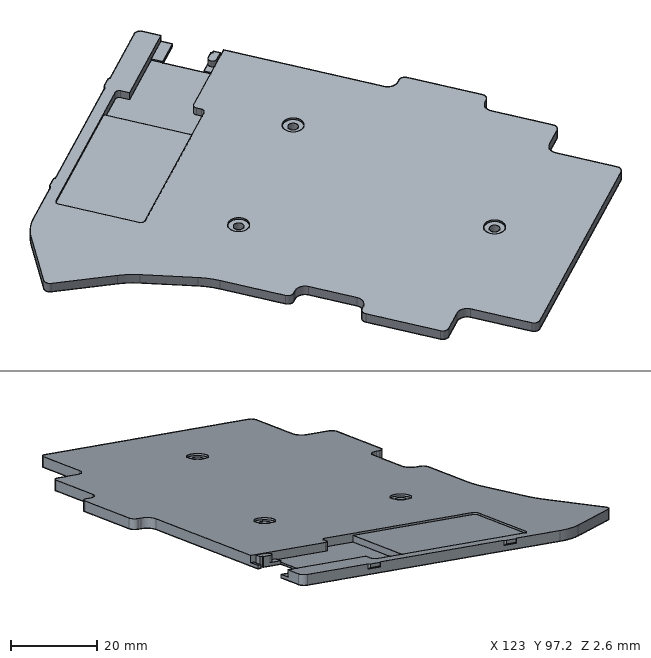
import cadquery as cq
import math

thickness = 2.6
left_x = 0.4
right_x = 123.0
top_y = 92.4
bottom_y = 14.2

wing_x = 104.1
wing_bottom_y = 23.9
wing_top_y = 83.2

bump_left_x = 63.6
bump_right_x = 85.0
bump_top_y = 97.2
notch_left_x = 66.1
notch_right_x = 82.8
notch_top_y = 19.0

grip_angle = 30.0
blend_angle = 15.0
grip_tip = (10.7, -0.57)
blend_end_x = 45.9

outer_radius = 1.5
inner_radius = 2.5
shoulder_radius = 12.0
blend_radius = 20.0

wide_left_x = 3.2
wide_right_x = 25.0
wide_bottom_y = 27.6
step_y = 61.8
neck_y = 70.6
neck_left_x = 6.4
neck_right_x = 21.8
pocket_radius = 1.0
shallow_depth = 0.5
deep_depth = 2.1

opening_left_x = 9.2
opening_right_x = 19.3
opening_bottom_y = 85.6
ledge_height = 0.9

latch_bottom_y = 87.6
latch_top_y = 91.2
latch_end_flat = 0.05
latch_relief_depth = 0.4
latch_relief_bottom_y = 90.6
arm_slit_width = 0.4
hook_bottom_y = 91.5
hook_length = 0.5

hole_diameter = 2.5
counterbore_diameter = 5.0
counterbore_depth = 0.5
pair_hole_x = 45.9
pair_hole_ys = [34.5, 72.4]
single_hole_x = 102.0
hole_centers = [(pair_hole_x, y) for y in pair_hole_ys]
hole_centers.append((single_hole_x, sum(pair_hole_ys) / 2))

tab_width = 3.5
tab_height = 1.2
tab_taper = 45.0


def box(x_min, x_max, y_min, y_max, z_min, z_max):
    """Axis-aligned block between the given limits."""
    size = (x_max - x_min, y_max - y_min, z_max - z_min)
    return cq.Workplane("XY").box(*size, centered=False).translate((x_min, y_min, z_min))


def round_corners(body, corners, radius):
    """Fillet the vertical edges that stand at the given XY corners."""
    reach = 0.06
    for x, y in corners:
        selector = cq.selectors.BoxSelector(
            (x - reach, y - reach, -thickness), (x + reach, y + reach, 2 * thickness)
        )
        body = body.edges("|Z").edges(selector).fillet(radius)
    return body


def make_plate():
    grip_slope = math.tan(math.radians(grip_angle))
    blend_slope = math.tan(math.radians(blend_angle))
    tip_x, tip_y = grip_tip
    shoulder = (left_x, tip_y + (tip_x - left_x) / grip_slope)
    blend_end = (blend_end_x, bottom_y)
    blend_start_x = (bottom_y - tip_y + grip_slope * tip_x - blend_slope * blend_end_x) / (
        grip_slope - blend_slope
    )
    blend_start = (blend_start_x, tip_y + grip_slope * (blend_start_x - tip_x))

    outline = [
        grip_tip,
        blend_start,
        blend_end,
        (notch_left_x, bottom_y),
        (notch_left_x, notch_top_y),
        (notch_right_x, notch_top_y),
        (notch_right_x, bottom_y),
        (wing_x, bottom_y),
        (wing_x, wing_bottom_y),
        (right_x, wing_bottom_y),
        (right_x, wing_top_y),
        (wing_x, wing_top_y),
        (wing_x, top_y),
        (bump_right_x, top_y),
        (bump_right_x, bump_top_y),
        (bump_left_x, bump_top_y),
        (bump_left_x, top_y),
        (left_x, top_y),
        shoulder,
    ]
    inner_corners = [
        (notch_left_x, notch_top_y),
        (notch_right_x, notch_top_y),
        (wing_x, wing_bottom_y),
        (wing_x, wing_top_y),
        (bump_right_x, top_y),
        (bump_left_x, top_y),
    ]
    blend_corners = [blend_start, blend_end]
    special_corners = inner_corners + blend_corners + [shoulder]
    outer_corners = [corner for corner in outline if corner not in special_corners]

    plate = cq.Workplane("XY").polyline(outline).close().extrude(thickness)
    plate = round_corners(plate, outer_corners, outer_radius)
    plate = round_corners(plate, inner_corners, inner_radius)
    plate = round_corners(plate, blend_corners, blend_radius)
    return round_corners(plate, [shoulder], shoulder_radius)


def cut_pocket(plate):
    deep_z = thickness - deep_depth
    shallow_z = thickness - shallow_depth
    wide = box(wide_left_x, wide_right_x, wide_bottom_y, neck_y, shallow_z, thickness)
    wide = wide.edges("|Z").fillet(pocket_radius)
    deep = box(wide_left_x, wide_right_x, step_y, neck_y, deep_z, thickness)
    deep = deep.edges("|Z and >Y").fillet(pocket_radius)
    neck = box(neck_left_x, neck_right_x, neck_y, opening_bottom_y, deep_z, thickness)
    ledges = box(neck_left_x, neck_right_x, opening_bottom_y, top_y, ledge_height, thickness)
    opening = box(opening_left_x, opening_right_x, opening_bottom_y, top_y, 0, thickness)
    pocket = deep.union(neck)
    pocket = round_corners(pocket, [(neck_right_x, neck_y)], pocket_radius)
    return plate.cut(wide).cut(pocket).cut(ledges).cut(opening)


def add_latch(plate):
    arm_right_x = neck_right_x - arm_slit_width
    end_radius = (arm_right_x - opening_right_x - latch_end_flat) / 2
    latch = box(opening_right_x, arm_right_x, latch_bottom_y, latch_top_y, 0, thickness)
    latch = latch.edges("|Z and <Y").fillet(end_radius)
    hook = box(opening_right_x - hook_length, opening_right_x, hook_bottom_y, top_y, 0, ledge_height)

    slit = box(arm_right_x, neck_right_x, opening_bottom_y, hook_bottom_y, 0, thickness)
    end_gap = box(opening_right_x, neck_right_x, latch_top_y, hook_bottom_y, 0, thickness)
    relief_x = opening_right_x + latch_relief_depth
    relief = box(opening_right_x, relief_x, latch_relief_bottom_y, latch_top_y, 0, thickness)
    return plate.union(latch).union(hook).cut(slit).cut(end_gap).cut(relief)


def cut_holes(plate):
    return (
        plate.faces(">Z")
        .workplane(origin=(0, 0, thickness))
        .pushPoints(hole_centers)
        .cboreHole(hole_diameter, counterbore_diameter, counterbore_depth)
    )


def add_tabs(plate):
    below_top = box(0, left_x, 0, top_y, 0, thickness)
    for center_y in pair_hole_ys:
        block = (
            cq.Workplane("YZ", origin=(left_x, center_y, thickness))
            .rect(tab_width, 2 * tab_height)
            .extrude(-left_x, taper=tab_taper)
        )
        plate = plate.union(block.intersect(below_top))
    return plate


result = add_tabs(cut_holes(add_latch(cut_pocket(make_plate()))))